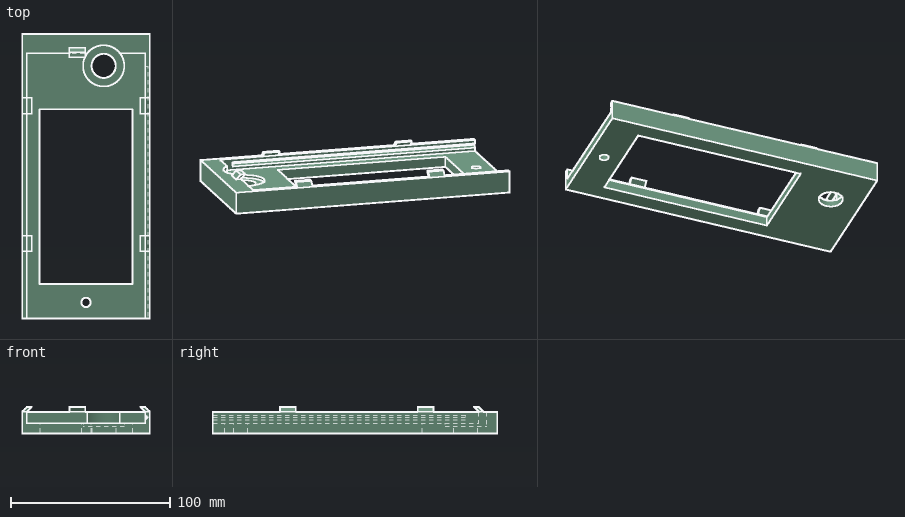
import cadquery as cq

width = 80.4
length = 179.0
tray_height = 13.8
floor_thickness = 6.6
side_wall = 3.0
back_wall = 12.0
back_y = length / 2

window_width = 58.2
window_from_back = 47.5
window_length = 109.7

opening_x = 11.1
opening_from_back = 20.0
opening_diameter = 15.0
recess_diameter = 26.0
recess_depth = 2.0

screw_hole_diameter = 5.7
screw_hole_from_back = 168.8

groove_height = 2.9
groove_depth = 1.6
groove_center_z = 10.2
groove_from_back = 20.2

clip_height = 3.0
clip_length = 10.0
clip_base = side_wall
clip_lean = 3.0
side_clip_centers_from_back = (45.1, 131.7)
back_clip_x = -5.4
back_clip_from_back = 8.6


def make_tray():
    """Block with a pocket that runs out through the front."""
    block = cq.Workplane("XY").box(width, length, tray_height, centered=(True, True, False))
    pocket = (
        cq.Workplane("XY", origin=(0, -back_wall / 2, floor_thickness))
        .box(width - 2 * side_wall, length - back_wall, tray_height, centered=(True, True, False))
    )
    return block.cut(pocket)


def cylinder(diameter, x, from_back, bottom_z):
    """Upright cutter from bottom_z to above the tray."""
    return (
        cq.Workplane("XY", origin=(x, back_y - from_back, bottom_z))
        .circle(diameter / 2)
        .extrude(tray_height)
    )


def make_window():
    center_y = back_y - window_from_back - window_length / 2
    return cq.Workplane("XY").center(0, center_y).rect(window_width, window_length).extrude(tray_height)


def make_groove():
    inner_x = width / 2 - side_wall
    half_height = groove_height / 2
    return (
        cq.Workplane("XZ", origin=(inner_x, back_y - groove_from_back, groove_center_z))
        .moveTo(0, -half_height)
        .lineTo(groove_depth, 0)
        .lineTo(0, half_height)
        .close()
        .extrude(length - groove_from_back)
    )


def make_clip():
    """Clip leaning toward +X, its outer bottom edge on the Y axis."""
    return (
        cq.Workplane("XZ")
        .moveTo(0, 0)
        .lineTo(clip_base, 0)
        .lineTo(clip_base + clip_lean, clip_height)
        .lineTo(clip_lean, clip_height)
        .close()
        .extrude(clip_length / 2, both=True)
        .translate((0, 0, tray_height))
    )


result = make_tray().cut(make_window())
result = result.cut(cylinder(recess_diameter, opening_x, opening_from_back, floor_thickness - recess_depth))
result = result.cut(cylinder(opening_diameter, opening_x, opening_from_back, 0))
result = result.cut(cylinder(screw_hole_diameter, 0, screw_hole_from_back, 0))
result = result.cut(make_groove())

for from_back in side_clip_centers_from_back:
    left_clip = make_clip().translate((-width / 2, back_y - from_back, 0))
    result = result.union(left_clip).union(left_clip.mirror("YZ"))

back_clip = make_clip().rotate((0, 0, 0), (0, 0, 1), -90)
result = result.union(back_clip.translate((back_clip_x, back_y - back_clip_from_back, 0)))